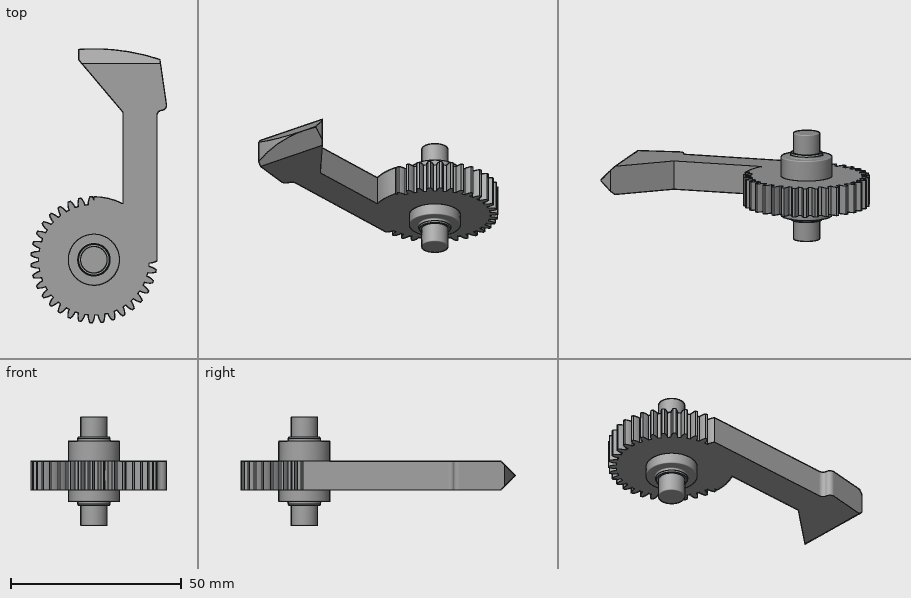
import cadquery as cq
import math

module = 1.0
tooth_count = 35
pressure_angle = math.radians(20)
dedendum = 1.25 * module
plate_thickness = 8.5
pitch_radius = module * tooth_count / 2
tip_radius = pitch_radius + module
root_radius = pitch_radius - dedendum
base_radius = pitch_radius * math.cos(pressure_angle)
tooth_pitch = 2 * math.pi / tooth_count
flank_points = 4

arm_width = 10.0
arm_right = tip_radius
arm_left = arm_right - arm_width
head_radius = 61.81
head_left = -4.5
head_left_bottom = 58.6
neck_y = 43.2
shoulder_y = 43.75
head_right_top_x = 19.36
head_right_bottom_x = 21.53
shoulder_round = 1.5
neck_fillet = 1.5

hub_diameter = 15.0
collar_diameter = 9.5
journal_diameter = 7.8
upper_hub_height = 5.85
lower_hub_height = 3.4
collar_height = 1.2
journal_length = 5.85
edge_round = 0.25
foot_fillet = 0.25
collar_bevel_width = 0.25
collar_bevel_height = 0.5


def polar(radius, angle):
    return (radius * math.cos(angle), radius * math.sin(angle))


def involute(angle):
    return math.tan(angle) - angle


def half_tooth_angle(radius):
    """Half the angle that a tooth spans at the given radius."""
    local_pressure = math.acos(base_radius / radius)
    return tooth_pitch / 4 + involute(pressure_angle) - involute(local_pressure)


def make_gear():
    step = (tip_radius - base_radius) / (flank_points - 1)
    radii = [base_radius + i * step for i in range(flank_points)]
    base_half = half_tooth_angle(base_radius)
    outline = cq.Workplane("XY").moveTo(*polar(root_radius, -base_half))
    for tooth in range(tooth_count):
        middle = tooth * tooth_pitch
        rising = [polar(r, middle - half_tooth_angle(r)) for r in radii]
        falling = [polar(r, middle + half_tooth_angle(r)) for r in reversed(radii)]
        next_start = middle + tooth_pitch - base_half
        outline = (
            outline.lineTo(*rising[0])
            .spline(rising[1:], includeCurrent=True)
            .threePointArc(polar(tip_radius, middle), falling[0])
            .spline(falling[1:], includeCurrent=True)
            .lineTo(*polar(root_radius, middle + base_half))
            .threePointArc(
                polar(root_radius, middle + tooth_pitch / 2), polar(root_radius, next_start)
            )
        )
    return outline.close().extrude(plate_thickness)


def make_toothless_quarter():
    """Plain quarter disc that fills the tooth spaces beside the arm."""
    return (
        cq.Workplane("XY")
        .lineTo(tip_radius, 0)
        .threePointArc(polar(tip_radius, math.pi / 4), (0, tip_radius))
        .close()
        .extrude(plate_thickness)
    )


def make_arm():
    head_top_left_y = math.sqrt(head_radius**2 - head_left**2)
    head_top_right_y = math.sqrt(head_radius**2 - head_right_top_x**2)
    arm = (
        cq.Workplane("XY")
        .moveTo(arm_left, 0)
        .lineTo(arm_right, 0)
        .lineTo(arm_right, shoulder_y)
        .lineTo(head_right_bottom_x, shoulder_y)
        .lineTo(head_right_top_x, head_top_right_y)
        .threePointArc((0, head_radius), (head_left, head_top_left_y))
        .lineTo(head_left, head_left_bottom)
        .lineTo(arm_left, neck_y)
        .close()
        .extrude(plate_thickness)
    )
    inner_corner = cq.selectors.NearestToPointSelector((arm_right, shoulder_y, plate_thickness / 2))
    outer_corner = cq.selectors.NearestToPointSelector(
        (head_right_bottom_x, shoulder_y, plate_thickness / 2)
    )
    arm = arm.edges("|Z").edges(outer_corner).fillet(shoulder_round)
    arm = arm.edges("|Z").edges(inner_corner).fillet(neck_fillet)
    return arm.intersect(make_knife_envelope())


def make_knife_envelope():
    """Prism along X whose end comes to a 45 degree ridge at mid thickness."""
    half_thickness = plate_thickness / 2
    bevel_start = head_radius - half_thickness
    return (
        cq.Workplane("YZ")
        .lineTo(bevel_start, 0)
        .lineTo(head_radius, half_thickness)
        .lineTo(bevel_start, plate_thickness)
        .lineTo(0, plate_thickness)
        .close()
        .extrude(head_radius, both=True)
    )


def make_shaft_end(hub_height):
    """One end of the shaft, rising along +Z from Z = 0."""
    hub_radius = hub_diameter / 2
    collar_radius = collar_diameter / 2
    journal_radius = journal_diameter / 2
    collar_top = hub_height + collar_height
    end = collar_top + journal_length
    edge_sag = edge_round * (1 - math.sqrt(0.5))
    foot_sag = foot_fillet * (1 - math.sqrt(0.5))
    return (
        cq.Workplane("XZ")
        .lineTo(hub_radius, 0)
        .lineTo(hub_radius, hub_height - edge_round)
        .threePointArc(
            (hub_radius - edge_sag, hub_height - edge_sag), (hub_radius - edge_round, hub_height)
        )
        .lineTo(collar_radius + foot_fillet, hub_height)
        .threePointArc(
            (collar_radius + foot_sag, hub_height + foot_sag),
            (collar_radius, hub_height + foot_fillet),
        )
        .lineTo(collar_radius, collar_top - collar_bevel_height)
        .lineTo(collar_radius - collar_bevel_width, collar_top)
        .lineTo(journal_radius, collar_top)
        .lineTo(journal_radius, end - edge_round)
        .threePointArc((journal_radius - edge_sag, end - edge_sag), (journal_radius - edge_round, end))
        .lineTo(0, end)
        .close()
        .revolve(360, (0, 0, 0), (0, 1, 0))
    )


upper_end = make_shaft_end(upper_hub_height).translate((0, 0, plate_thickness))
lower_end = make_shaft_end(lower_hub_height).mirror("XY")

result = make_gear().union(make_toothless_quarter()).union(make_arm())
result = result.union(upper_end).union(lower_end).clean()